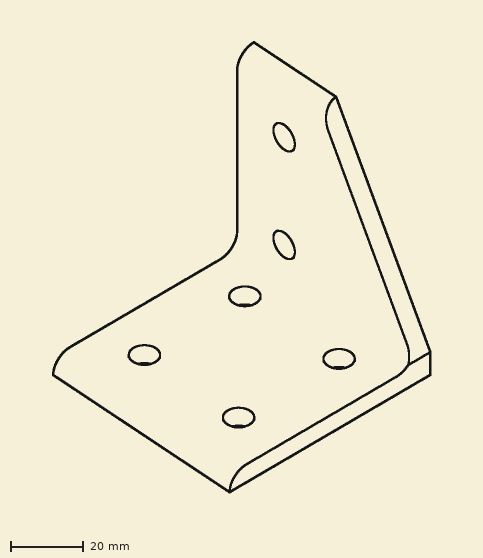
import cadquery as cq

width = 71.4
leg = 76.2
thickness = 6.4
edge_radius = thickness
inner_radius = 6.4

slope_run = 38.1
slope_start_height = 8.1

hole_diameter = 8.7
hole_pitch = 38.1
hole_middle = leg / 2
upright_hole_x = 19.05


def l_profile():
    """L-section extruded across the width, back face at Y = leg."""
    inner_y = leg - thickness
    section = (
        cq.Workplane("YZ")
        .moveTo(0, 0)
        .lineTo(leg, 0)
        .lineTo(leg, leg)
        .radiusArc((inner_y, leg - edge_radius), -edge_radius)
        .lineTo(inner_y, thickness + inner_radius)
        .radiusArc((inner_y - inner_radius, thickness), inner_radius)
        .lineTo(edge_radius, thickness)
        .radiusArc((0, 0), -edge_radius)
        .close()
    )
    return section.extrude(width)


def slope_cutter():
    """Triangular prism that removes the outer upper corner of the upright plate."""
    triangle = cq.Workplane("XZ").polyline(
        [(width, slope_start_height), (width, leg), (width - slope_run, leg)]
    )
    return triangle.close().extrude(-leg)


def base_holes():
    """Square pattern of four vertical holes, centred on the base plate."""
    return (
        cq.Workplane("XY")
        .center(width / 2, hole_middle)
        .rarray(hole_pitch, hole_pitch, 2, 2)
        .circle(hole_diameter / 2)
        .extrude(leg)
    )


def upright_holes():
    """Two holes through the upright plate, one above the other."""
    heights = [hole_middle - hole_pitch / 2, hole_middle + hole_pitch / 2]
    return (
        cq.Workplane("XZ")
        .pushPoints([(upright_hole_x, height) for height in heights])
        .circle(hole_diameter / 2)
        .extrude(-leg)
    )


result = l_profile().cut(slope_cutter()).cut(base_holes()).cut(upright_holes())